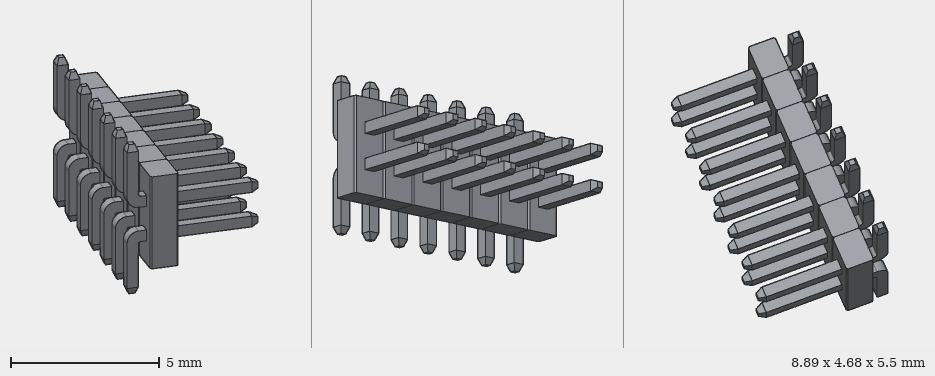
import cadquery as cq

POSITIONS = 7
ROW_LENGTH = 8.89
PITCH = ROW_LENGTH / POSITIONS
ROW_SPACING = PITCH

BLOCK_DEPTH = 0.99
BLOCK_HEIGHT = 3.4
EDGE_CHAMFER = 0.05

PIN_SIZE = 0.4
TOTAL_DEPTH = 4.68
TOTAL_HEIGHT = 5.5
LEG_REACH = 0.69
OUTER_BEND_RADIUS = 0.4
INNER_BEND_RADIUS = 0.1

TIP_LENGTH = 0.25
TIP_SIZE = 0.205

BLOCK_FRONT = -BLOCK_DEPTH / 2
LEG_FRONT = BLOCK_FRONT - LEG_REACH
LEG_MIDDLE = LEG_FRONT + PIN_SIZE / 2
CONTACT_END = LEG_FRONT + TOTAL_DEPTH
LEG_END = TOTAL_HEIGHT / 2
PIN_LEVEL = ROW_SPACING / 2


def make_block():
    """Housing block with its four upright edges chamfered."""
    block = cq.Workplane("XY").box(PITCH, BLOCK_DEPTH, BLOCK_HEIGHT)
    return block.edges("|Z").chamfer(EDGE_CHAMFER)


def make_tip(base_center, direction):
    """Square taper that starts at full pin size and narrows along the given direction."""
    base = cq.Plane(origin=base_center, xDir=(1, 0, 0), normal=direction)
    return (
        cq.Workplane(base)
        .rect(PIN_SIZE, PIN_SIZE)
        .workplane(offset=TIP_LENGTH)
        .rect(TIP_SIZE, TIP_SIZE)
        .loft(ruled=True)
    )


def make_upper_pin():
    """Pin that runs through the block along Y and bends upwards in front of it."""
    contact_base = CONTACT_END - TIP_LENGTH
    leg_base = LEG_END - TIP_LENGTH
    bottom = PIN_LEVEL - PIN_SIZE / 2
    top = PIN_LEVEL + PIN_SIZE / 2
    leg_back = LEG_FRONT + PIN_SIZE
    shank = (
        cq.Workplane("YZ")
        .moveTo(contact_base, bottom)
        .lineTo(LEG_FRONT + OUTER_BEND_RADIUS, bottom)
        .radiusArc((LEG_FRONT, bottom + OUTER_BEND_RADIUS), OUTER_BEND_RADIUS)
        .lineTo(LEG_FRONT, leg_base)
        .lineTo(leg_back, leg_base)
        .lineTo(leg_back, top + INNER_BEND_RADIUS)
        .radiusArc((leg_back + INNER_BEND_RADIUS, top), -INNER_BEND_RADIUS)
        .lineTo(contact_base, top)
        .close()
        .extrude(PIN_SIZE / 2, both=True)
    )
    contact_tip = make_tip((0, contact_base, PIN_LEVEL), (0, 1, 0))
    leg_tip = make_tip((0, LEG_MIDDLE, leg_base), (0, 0, 1))
    return shank.union(contact_tip).union(leg_tip)


def make_position():
    """One header position: a block in one piece with its upper pin and the mirrored lower pin."""
    upper_pin = make_upper_pin()
    lower_pin = upper_pin.mirror("XY")
    return make_block().union(upper_pin).union(lower_pin)


positions = []
for index in range(POSITIONS):
    x = (index - (POSITIONS - 1) / 2) * PITCH
    positions.append(make_position().translate((x, 0, 0)).val())

result = cq.Compound.makeCompound(positions)